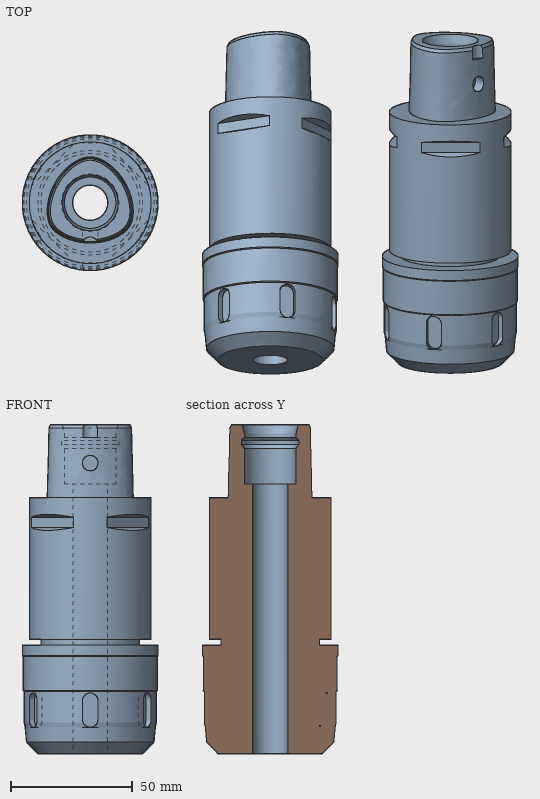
import cadquery as cq
import math

HEIGHT = 135.0
FLANGE_Z = 105.0
BODY_BOTTOM_Z = 47.0
COLLAR_TOP_Z = 44.5
COLLAR_BOTTOM_Z = 40.4
NUT_STEP_Z = 25.9
NUT_BEVEL_Z = 12.8
NUT_TIP_Z = 11.0
NOSE_Z = 4.9
STEP_BEVEL_HEIGHT = 0.4

BODY_R = 25.0
NECK_R = 20.2
COLLAR_DIAMETER = 55.8
COLLAR_R = COLLAR_DIAMETER / 2
NUT_UPPER_R = 27.5
NUT_LOWER_R = 27.1
NUT_TIP_R = 26.7
NOSE_R = 26.2
NOSE_END_R = 21.5

SHANK_BASE_R = 17.7
SHANK_TAPER = 1 / 40
LOBE_HEIGHT = 1.15
SHANK_CHAMFER_HEIGHT = 1.4
SHANK_CHAMFER_INSET = 0.7
SHANK_CURVE_POINTS = 48

MOUTH_R = 11.5
BORE_R = 10.5
MOUTH_CONE_DEPTH = 3.8
GROOVE_R = 11.7
GROOVE_TOP = 5.3
GROOVE_WALL_TOP = 6.5
GROOVE_WALL_BOTTOM = 8.1
GROOVE_BOTTOM = 9.7
BORE_DEPTH = 24.3
THROUGH_R = 7.2

NOTCH_R = 3.5
NOTCH_FLOOR_Y = -14.0
NOTCH_DEPTH = 5.4
CROSS_HOLE_DIAMETER = 6.3
CROSS_HOLE_Z = 119.2
CROSS_HOLE_FLOOR_Y = -11.3

GRIPPER_COUNT = 4
GRIPPER_START_ANGLE = 45
GRIPPER_Z = 94.9
GRIPPER_FLOOR_R = 21.9
GRIPPER_FLOOR_HEIGHT = 4.2
GRIPPER_MOUTH_HEIGHT = 6.6

SLOT_COUNT = 6
SLOT_START_ANGLE = -90
SLOT_WIDTH = 6.3
SLOT_BOTTOM_Z = 11.0
SLOT_TOP_Z = 25.0
SLOT_FLOOR_R = 24.6


def revolve(profile):
    """Turn an (r, z) profile about the Z axis."""
    return cq.Workplane("XZ").polyline(profile).close().revolve(360, (0, 0), (0, 1))


def polygon_wire(mean_r, z):
    """Closed three-lobed curve with one lobe toward +Y."""
    points = []
    for i in range(SHANK_CURVE_POINTS):
        angle = 2 * math.pi * i / SHANK_CURVE_POINTS
        support = mean_r - LOBE_HEIGHT * math.sin(3 * angle)
        slope = -3 * LOBE_HEIGHT * math.cos(3 * angle)
        x = support * math.cos(angle) - slope * math.sin(angle)
        y = support * math.sin(angle) + slope * math.cos(angle)
        points.append(cq.Vector(x, y, z))
    return cq.Wire.assembleEdges([cq.Edge.makeSpline(points, periodic=True)])


def make_body():
    return revolve([
        (0, 0),
        (NOSE_END_R, 0),
        (NOSE_R, NOSE_Z),
        (NUT_TIP_R, NUT_TIP_Z),
        (NUT_LOWER_R, NUT_BEVEL_Z),
        (NUT_LOWER_R, NUT_STEP_Z - STEP_BEVEL_HEIGHT),
        (NUT_UPPER_R, NUT_STEP_Z),
        (NUT_UPPER_R, COLLAR_BOTTOM_Z - STEP_BEVEL_HEIGHT),
        (COLLAR_R, COLLAR_BOTTOM_Z),
        (COLLAR_R, COLLAR_TOP_Z),
        (NECK_R, COLLAR_TOP_Z),
        (NECK_R, BODY_BOTTOM_Z),
        (BODY_R, BODY_BOTTOM_Z),
        (BODY_R, FLANGE_Z),
        (0, FLANGE_Z),
    ])


def make_shank():
    chamfer_z = HEIGHT - SHANK_CHAMFER_HEIGHT
    upper_r = SHANK_BASE_R - SHANK_TAPER * (chamfer_z - FLANGE_Z)
    base_wire = polygon_wire(SHANK_BASE_R, FLANGE_Z)
    upper_wire = polygon_wire(upper_r, chamfer_z)
    top_wire = polygon_wire(upper_r - SHANK_CHAMFER_INSET, HEIGHT)
    taper = cq.Solid.makeLoft([base_wire, upper_wire], True)
    chamfer = cq.Solid.makeLoft([upper_wire, top_wire], True)
    return cq.Workplane(taper).union(cq.Workplane(chamfer))


def make_bore():
    """Through hole, blind bore with a flared inner groove, and a tapered mouth."""
    return revolve([
        (0, 0),
        (THROUGH_R, 0),
        (THROUGH_R, HEIGHT - BORE_DEPTH),
        (BORE_R, HEIGHT - BORE_DEPTH),
        (BORE_R, HEIGHT - GROOVE_BOTTOM),
        (GROOVE_R, HEIGHT - GROOVE_WALL_BOTTOM),
        (GROOVE_R, HEIGHT - GROOVE_WALL_TOP),
        (BORE_R, HEIGHT - GROOVE_TOP),
        (BORE_R, HEIGHT - MOUTH_CONE_DEPTH),
        (MOUTH_R, HEIGHT),
        (0, HEIGHT),
    ])


def make_key_notch():
    floor = cq.Workplane("XY", origin=(0, NOTCH_FLOOR_Y - NOTCH_R, HEIGHT - NOTCH_DEPTH))
    return floor.circle(NOTCH_R).extrude(NOTCH_DEPTH)


def make_cross_hole():
    floor = cq.Workplane("XZ", origin=(0, CROSS_HOLE_FLOOR_Y, CROSS_HOLE_Z))
    return floor.circle(CROSS_HOLE_DIAMETER / 2).extrude(SHANK_BASE_R)


def make_gripper_groove(angle):
    """Straight groove with sloping flanks, widening from its floor to the body surface."""
    floor_half = GRIPPER_FLOOR_HEIGHT / 2
    mouth_half = GRIPPER_MOUTH_HEIGHT / 2
    groove = (
        cq.Workplane("XZ", origin=(0, 0, GRIPPER_Z))
        .polyline([
            (GRIPPER_FLOOR_R, -floor_half),
            (BODY_R, -mouth_half),
            (BODY_R, mouth_half),
            (GRIPPER_FLOOR_R, floor_half),
        ])
        .close()
        .extrude(BODY_R, both=True)
    )
    return groove.rotate((0, 0, 0), (0, 0, 1), angle)


def make_spanner_slot(angle):
    """Flat-floored upright slot with round ends."""
    middle_z = (SLOT_BOTTOM_Z + SLOT_TOP_Z) / 2
    slot = (
        cq.Workplane("YZ", origin=(SLOT_FLOOR_R, 0, middle_z))
        .slot2D(SLOT_TOP_Z - SLOT_BOTTOM_Z, SLOT_WIDTH, 90)
        .extrude(COLLAR_R - SLOT_FLOOR_R)
    )
    return slot.rotate((0, 0, 0), (0, 0, 1), angle)


result = make_body().union(make_shank())
result = result.cut(make_bore()).cut(make_key_notch()).cut(make_cross_hole())

for index in range(GRIPPER_COUNT):
    result = result.cut(make_gripper_groove(GRIPPER_START_ANGLE + index * 360 / GRIPPER_COUNT))

for index in range(SLOT_COUNT):
    result = result.cut(make_spanner_slot(SLOT_START_ANGLE + index * 360 / SLOT_COUNT))